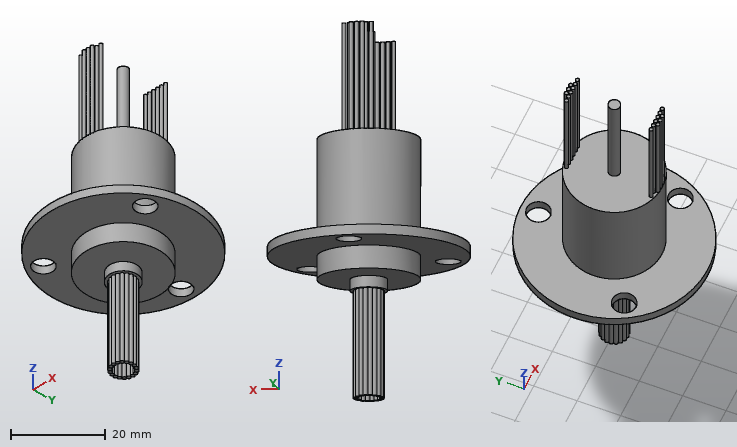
import cadquery as cq
import math

total_height = 79.4
lead_length = 23.3
collar_height = 2.5
lower_body_height = 5.0
flange_thickness = 2.15

collar_base = lead_length
body_base = collar_base + collar_height
flange_base = body_base + lower_body_height
body_top = total_height - lead_length

flange_diameter = 43.0
body_diameter = 22.0
collar_diameter = 8.0
pin_diameter = 2.7

hole_count = 3
hole_diameter = 5.4
hole_circle_radius = 17.5

ring_wire_count = 18
ring_radius = 2.85
wire_clearance = 0.01
ring_wire_diameter = 2 * ring_radius * math.sin(math.pi / ring_wire_count) - wire_clearance

bundle_wire_diameter = 0.9
wire_pitch = 1.2
outer_row_count = 3
inner_row_count = 6
row_spacing = 0.8
outer_row_offset = (body_diameter - bundle_wire_diameter) / 2 - wire_clearance
inner_row_offset = outer_row_offset - row_spacing


def cylinder(diameter, base, top):
    """Cylinder on the Z axis between two heights."""
    return cq.Workplane("XY").workplane(offset=base).circle(diameter / 2).extrude(top - base)


def wires(points, diameter, base, top):
    """Round wires standing at the given XY points between two heights."""
    plane = cq.Workplane("XY").workplane(offset=base)
    return plane.pushPoints(points).circle(diameter / 2).extrude(top - base)


def row_points(count, y):
    """Evenly pitched points along X, centred on X = 0."""
    first_x = -wire_pitch * (count - 1) / 2
    return [(first_x + index * wire_pitch, y) for index in range(count)]


body = cylinder(body_diameter, body_base, body_top)
flange = cylinder(flange_diameter, flange_base, flange_base + flange_thickness)
collar = cylinder(collar_diameter, collar_base, body_base)
housing = body.union(flange).union(collar)

mounting_holes = (
    cq.Workplane("XY")
    .workplane(offset=flange_base)
    .polarArray(hole_circle_radius, 90, 360, hole_count)
    .circle(hole_diameter / 2)
    .extrude(flange_thickness)
)
housing = housing.cut(mounting_holes)

pin = cylinder(pin_diameter, body_top, total_height)
bundle_points = []
for side in (-1, 1):
    bundle_points += row_points(outer_row_count, side * outer_row_offset)
    bundle_points += row_points(inner_row_count, side * inner_row_offset)
upper_wires = wires(bundle_points, bundle_wire_diameter, body_top, total_height)

ring_points = []
for index in range(ring_wire_count):
    angle = 2 * math.pi * index / ring_wire_count - math.pi / 2
    ring_points.append((ring_radius * math.cos(angle), ring_radius * math.sin(angle)))
lower_wires = wires(ring_points, ring_wire_diameter, 0, collar_base)

result = housing.union(pin).union(upper_wires).union(lower_wires)